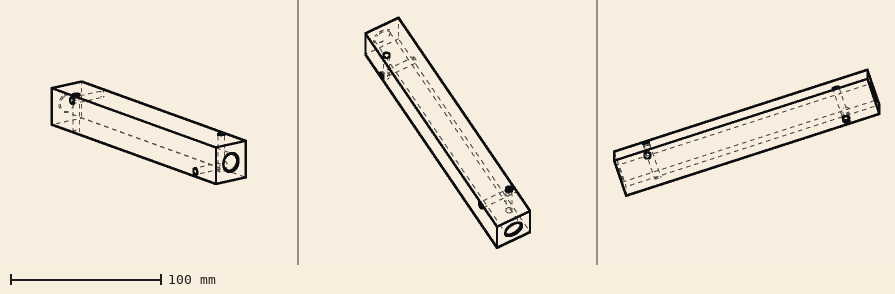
import cadquery as cq

length = 177.8
side = 25.5

bore_diameter = 11.5
mouth_diameter = 13.0
mouth_chamfer = (mouth_diameter - bore_diameter) / 2

hole_diameter = 4.3
hole_spacing = 133.4
hole_offset = 9.0


def make_bar():
    """Square bar with a chamfered bore along its full length."""
    bar = cq.Workplane("YZ").rect(side, side).circle(bore_diameter / 2).extrude(length / 2, both=True)
    return bar.faces("<X or >X").edges("%CIRCLE").chamfer(mouth_chamfer)


def make_cross_holes(plane, end_offset):
    """Two through holes, at end_offset near the -X end and opposite it near +X."""
    centers = [(-hole_spacing / 2, end_offset), (hole_spacing / 2, -end_offset)]
    return cq.Workplane(plane).pushPoints(centers).circle(hole_diameter / 2).extrude(side, both=True)


result = make_bar()
result = result.cut(make_cross_holes("XZ", hole_offset))
result = result.cut(make_cross_holes("XY", -hole_offset))